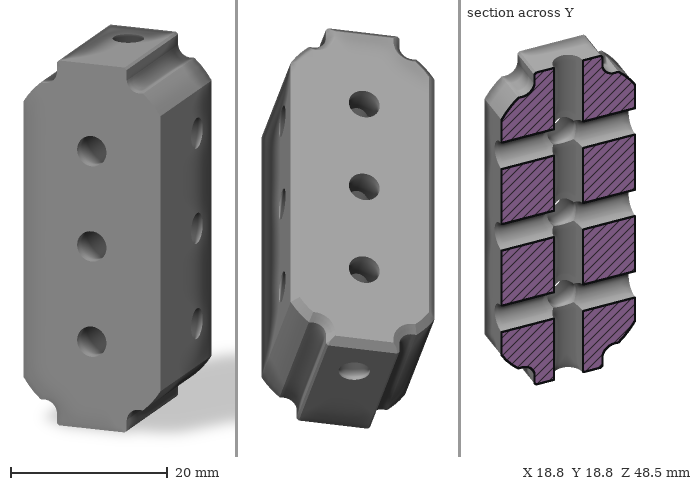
import cadquery as cq
import math

width = 18.8
depth = 18.8
height = 48.5

tab_width = 9.6
tab_edge_chamfer = 0.3
ledge_drop = 3.2
groove_drop = 1.7
groove_radius = 1.7
groove_end_x = 6.75
ledge_end_x = 7.05

shoulder_drop = 5.95
shoulder_radius = 11.05

rear_chamfer = 0.95
chamfer_angle = 45

hole_diameter = 4.05
hole_spacing = 12.65
hole_setback = 6.1

half_width = width / 2
half_height = height / 2
half_tab = tab_width / 2
ledge_z = half_height - ledge_drop
shoulder_z = half_height - shoulder_drop
chamfer_y = depth / 2 - rear_chamfer
hole_y = depth / 2 - hole_setback


def arc_middle(start, end, radius):
    """Middle of the minor arc lying to the right of travel from start to end."""
    dx = end[0] - start[0]
    dz = end[1] - start[1]
    chord = math.hypot(dx, dz)
    sagitta = radius - math.sqrt(radius**2 - (chord / 2) ** 2)
    middle_x = (start[0] + end[0]) / 2 + sagitta * dz / chord
    middle_z = (start[1] + end[1]) / 2 - sagitta * dx / chord
    return middle_x, middle_z


def make_quarter():
    """Upper right quarter of the block, from the front face to the start of the chamfer."""
    shoulder_start = (half_width, shoulder_z)
    ledge_end = (ledge_end_x, ledge_z)
    groove_end = (groove_end_x, ledge_z)
    groove_top = (half_tab, half_height - groove_drop)
    groove_middle = arc_middle(groove_top, groove_end, groove_radius)
    return (
        cq.Workplane("XZ", origin=(0, chamfer_y, 0))
        .lineTo(half_width, 0)
        .lineTo(*shoulder_start)
        .threePointArc(arc_middle(shoulder_start, ledge_end, shoulder_radius), ledge_end)
        .lineTo(*groove_end)
        .threePointArc(groove_middle, groove_top)
        .lineTo(half_tab, half_height - tab_edge_chamfer)
        .lineTo(half_tab - tab_edge_chamfer, half_height)
        .lineTo(0, half_height)
        .close()
        .extrude(chamfer_y + depth / 2)
    )


def make_block():
    """Mirror the quarter, then narrow the rear end evenly all around to form the chamfer."""
    quarter = make_quarter()
    upper = quarter.union(quarter.mirror("YZ"))
    block = upper.union(upper.mirror("XY")).clean()
    rear_outline = block.faces(">Y").wires().toPending().workplane()
    tip = rear_outline.extrude(rear_chamfer, taper=chamfer_angle, combine=False)
    return block.union(tip)


def hole_cutters(length, plane, positions):
    """Through-hole cutters centred on the given points, along the plane's normal."""
    return (
        cq.Workplane(plane)
        .pushPoints(positions)
        .circle(hole_diameter / 2)
        .extrude(length / 2, both=True)
    )


levels = [-hole_spacing, 0, hole_spacing]
result = make_block()
result = result.cut(hole_cutters(depth, "XZ", [(0, z) for z in levels]))
result = result.cut(hole_cutters(width, "YZ", [(hole_y, z) for z in levels]))
result = result.cut(hole_cutters(height, "XY", [(0, hole_y)]))